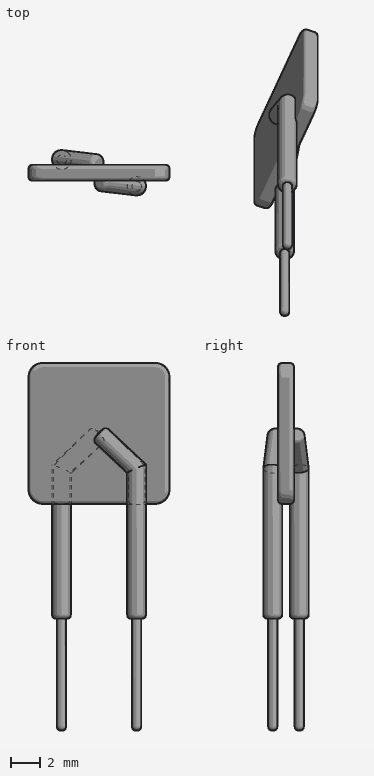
import cadquery as cq

BODY_SIDE = 9.6
BODY_THICKNESS = 1.1
BODY_CORNER_RADIUS = 1.0
BODY_EDGE_FILLET = 0.3

TOTAL_HEIGHT = 25.0
BODY_CENTRE_Z = TOTAL_HEIGHT - BODY_SIDE / 2

LEAD_PITCH_X = 5.1
LEAD_PITCH_Y = 1.8
BARE_DIAMETER = 0.65
BARE_LENGTH = 7.6
COATED_DIAMETER = 1.3
LEAD_END_FILLET = 0.3

BEND_Z = 17.8
BEND_LEAN = 0.3


def make_body():
    plate = cq.Workplane("XY").box(BODY_SIDE, BODY_THICKNESS, BODY_SIDE)
    plate = plate.edges("|Y").fillet(BODY_CORNER_RADIUS)
    plate = plate.faces("<Y or >Y").edges().fillet(BODY_EDGE_FILLET)
    return plate.translate((0, 0, BODY_CENTRE_Z))


def make_front_lead():
    x = LEAD_PITCH_X / 2
    y = -LEAD_PITCH_Y / 2
    start = cq.Vector(x, y, BARE_LENGTH)
    bend = cq.Vector(x, y, BEND_Z)
    end = cq.Vector(0, y + BEND_LEAN, BODY_CENTRE_Z)

    path = cq.Workplane("XY").polyline([start, bend, end])
    coated = (
        cq.Workplane("XY", origin=start.toTuple())
        .circle(COATED_DIAMETER / 2)
        .sweep(path, transition="right")
    )
    coated = coated.faces("%PLANE").edges().fillet(LEAD_END_FILLET)

    bare = (
        cq.Workplane("XY", origin=(x, y, 0))
        .circle(BARE_DIAMETER / 2)
        .extrude(BEND_Z)
        .faces("<Z")
        .edges()
        .fillet(LEAD_END_FILLET)
    )
    return coated.union(bare)


front_lead = make_front_lead()
rear_lead = front_lead.rotate((0, 0, 0), (0, 0, 1), 180)

result = make_body().union(front_lead).union(rear_lead)